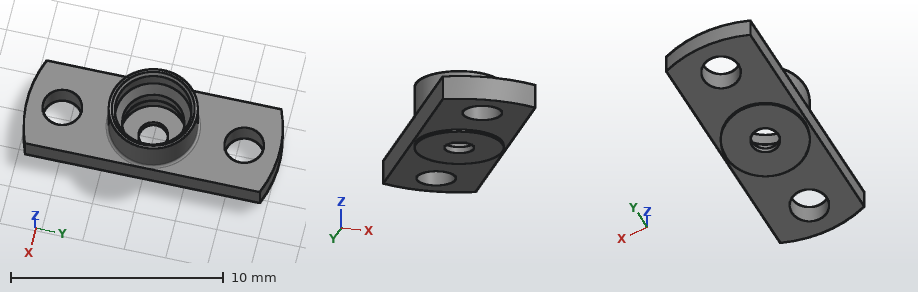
import cadquery as cq
import math

length = 12.16
width = 4.47
plate_thickness = 1.14
side_length = 11.31
end_sagitta = (length - side_length) / 2
hole_diameter = 1.85
hole_spacing = 8.75

total_height = 3.05
foot_height = 0.11
socket_radius = 2.09
base_fillet = 0.12
socket_top = total_height - foot_height

mouth_radius = 1.95
bore_radius = 1.8
mouth_depth = mouth_radius - bore_radius
bore_depth = 0.9
neck_radius = 1.46
taper_depth = 1.41
lip_depth = 2.03
undercut_radius = 1.56
flare_angle = math.radians(30)
undercut_depth = lip_depth + (undercut_radius - neck_radius) / math.tan(flare_angle)
floor_depth = 2.75
center_hole_radius = 0.69


def make_plate():
    """Rectangular bar with bowed ends and two mounting holes."""
    half_width = width / 2
    half_side = side_length / 2
    return (
        cq.Workplane("XY")
        .moveTo(-half_width, -half_side)
        .sagittaArc((half_width, -half_side), -end_sagitta)
        .lineTo(half_width, half_side)
        .sagittaArc((-half_width, half_side), -end_sagitta)
        .close()
        .extrude(plate_thickness)
        .faces(">Z")
        .workplane(origin=(0, 0, 0))
        .pushPoints([(0, -hole_spacing / 2), (0, hole_spacing / 2)])
        .hole(hole_diameter)
    )


def make_socket_body():
    """Solid of revolution: foot, wall and the concave fillet onto the plate."""
    fillet_top = plate_thickness + base_fillet
    fillet_outer = socket_radius + base_fillet
    return (
        cq.Workplane("XZ")
        .moveTo(0, -foot_height)
        .lineTo(socket_radius, -foot_height)
        .lineTo(socket_radius, 0)
        .lineTo(fillet_outer, 0)
        .lineTo(fillet_outer, plate_thickness)
        .radiusArc((socket_radius, fillet_top), base_fillet)
        .lineTo(socket_radius, socket_top)
        .lineTo(0, socket_top)
        .close()
        .revolve(360, (0, 0, 0), (0, 1, 0))
    )


def make_bore():
    """Stepped cavity: chamfered mouth, bore, taper, neck, flared undercut and through hole."""
    return (
        cq.Workplane("XZ")
        .moveTo(0, socket_top)
        .lineTo(mouth_radius, socket_top)
        .lineTo(bore_radius, socket_top - mouth_depth)
        .lineTo(bore_radius, socket_top - bore_depth)
        .lineTo(neck_radius, socket_top - taper_depth)
        .lineTo(neck_radius, socket_top - lip_depth)
        .lineTo(undercut_radius, socket_top - undercut_depth)
        .lineTo(undercut_radius, socket_top - floor_depth)
        .lineTo(center_hole_radius, socket_top - floor_depth)
        .lineTo(center_hole_radius, -foot_height)
        .lineTo(0, -foot_height)
        .close()
        .revolve(360, (0, 0, 0), (0, 1, 0))
    )


result = make_plate().union(make_socket_body()).cut(make_bore())